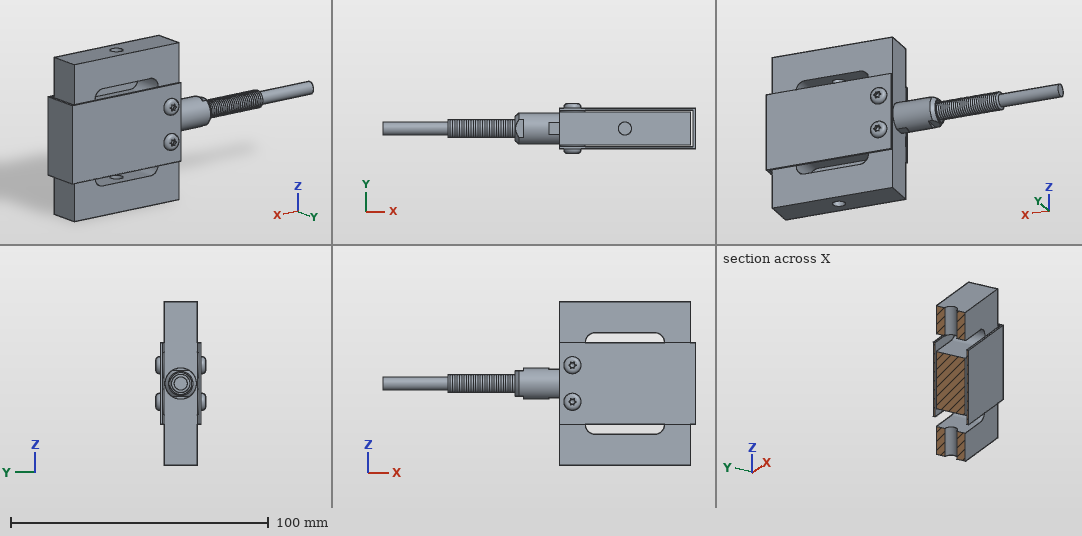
import cadquery as cq
import math

TOTAL_LENGTH = 121.4
TOTAL_WIDTH = 19.4

BLOCK_LENGTH = 51.0
BLOCK_WIDTH = 13.0
BLOCK_HEIGHT = 63.5
BLOCK_START = 68.5
BLOCK_CENTRE = BLOCK_START + BLOCK_LENGTH / 2
SLOT_LENGTH = 30.6
SLOT_HEIGHT = 7.4
SLOT_TOP = 19.7
MOUNTING_HOLE_DIAMETER = 5.1

COVER_HEIGHT = 31.7
COVER_WIDTH = 15.8
COVER_THICKNESS = 0.8
END_THICKNESS = 1.1

SCREW_INSET = 5.1
SCREW_SPACING = 14.2
WASHER_DIAMETER = 10.0
WASHER_THICKNESS = (COVER_WIDTH - BLOCK_WIDTH) / 2 - COVER_THICKNESS
HEAD_DIAMETER = 6.7
HEAD_TOP_DIAMETER = 3.8
HEAD_HEIGHT = (TOTAL_WIDTH - COVER_WIDTH) / 2
SOCKET_DIAMETER = 2.8
SOCKET_WAIST_DIAMETER = 2.0
SOCKET_DEPTH = 1.1
SOCKET_CONE_DEPTH = 0.5
SOCKET_LOBES = 6

CABLE_DIAMETER = 5.1
SLEEVE_START = 25.3
SLEEVE_DIAMETER = 7.2
RIB_COUNT = 29
RIB_DEPTH = 0.4

GLAND_START = 51.2
GLAND_DIAMETER = 12.1
GLAND_FACE_DIAMETER = 9.5
GLAND_CONE_LENGTH = 1.6
MOUTH_DIAMETER = 8.5
MOUTH_DEPTH = 1.5
FRONT_FLATS = 10.0
FRONT_FLATS_LENGTH = 3.3
BACK_FLATS = 11.2
BACK_FLATS_LENGTH = 4.0


def cylinder_along_x(diameter, start, end):
    return cq.Workplane("YZ").workplane(offset=start).circle(diameter / 2).extrude(end - start)


def make_block():
    block = cq.Workplane("XY").box(BLOCK_LENGTH, BLOCK_WIDTH, BLOCK_HEIGHT)
    slot_centre = SLOT_TOP - SLOT_HEIGHT / 2
    slots = (
        cq.Workplane("XZ")
        .pushPoints([(0, slot_centre), (0, -slot_centre)])
        .slot2D(SLOT_LENGTH, SLOT_HEIGHT)
        .extrude(BLOCK_WIDTH / 2, both=True)
    )
    block = block.cut(slots)
    hole_depth = BLOCK_HEIGHT / 2 - slot_centre
    for end_face in (">Z", "<Z"):
        end = block.faces(end_face).workplane(centerOption="CenterOfBoundBox")
        block = end.hole(MOUNTING_HOLE_DIAMETER, hole_depth)
    return block.translate((BLOCK_CENTRE, 0, 0))


def make_cover():
    cover_length = TOTAL_LENGTH - BLOCK_START
    outside = cq.Workplane("XY").box(cover_length, COVER_WIDTH, COVER_HEIGHT)
    inside = (
        cq.Workplane("XY")
        .box(cover_length, COVER_WIDTH - 2 * COVER_THICKNESS, COVER_HEIGHT)
        .translate((-END_THICKNESS, 0, 0))
    )
    return outside.cut(inside).translate((BLOCK_START + cover_length / 2, 0, 0))


def make_socket():
    """Lobed recess with a conical bottom, sunk into a screw head."""
    tip = SOCKET_DIAMETER / 2
    waist = SOCKET_WAIST_DIAMETER / 2
    half_pitch = math.pi / SOCKET_LOBES
    points = []
    for i in range(2 * SOCKET_LOBES):
        radius = tip if i % 2 == 0 else waist
        points.append((radius * math.cos(i * half_pitch), radius * math.sin(i * half_pitch)))
    floor = HEAD_HEIGHT - SOCKET_DEPTH
    recess = (
        cq.Workplane("XY")
        .workplane(offset=floor)
        .spline(points, periodic=True)
        .close()
        .extrude(SOCKET_DEPTH)
    )
    cone = cq.Solid.makeCone(0, waist, SOCKET_CONE_DEPTH, cq.Vector(0, 0, floor - SOCKET_CONE_DEPTH))
    return recess.union(cq.Workplane(cone))


def make_head():
    """Screw head with a rounded edge, seated on the outer cover face at Z = 0."""
    return (
        cq.Workplane("XY")
        .circle(HEAD_DIAMETER / 2)
        .extrude(HEAD_HEIGHT)
        .faces(">Z")
        .edges()
        .fillet((HEAD_DIAMETER - HEAD_TOP_DIAMETER) / 2)
        .cut(make_socket())
    )


def make_washer():
    """Washer filling the gap between the cover sheet and the block."""
    return (
        cq.Workplane("XY")
        .workplane(offset=-COVER_THICKNESS - WASHER_THICKNESS)
        .circle(WASHER_DIAMETER / 2)
        .extrude(WASHER_THICKNESS)
    )


def add_screws(body):
    """Add a pair of screws with washers to each side of the cover."""
    screw_x = BLOCK_START + SCREW_INSET
    for side in (-1, 1):
        for z in (-SCREW_SPACING / 2, SCREW_SPACING / 2):
            for piece in (make_head(), make_washer()):
                turned = piece.rotate((0, 0, 0), (1, 0, 0), -90 * side)
                body = body.union(turned.translate((screw_x, side * COVER_WIDTH / 2, z)))
    return body


def make_sleeve():
    """Sleeve with a row of rounded ribs, running to the bottom of the gland mouth."""
    pitch = (GLAND_START - SLEEVE_START) / RIB_COUNT
    crest = SLEEVE_DIAMETER / 2
    root = crest - RIB_DEPTH
    profile = cq.Workplane("XY").moveTo(SLEEVE_START, 0).lineTo(SLEEVE_START, root)
    for i in range(RIB_COUNT):
        start = SLEEVE_START + i * pitch
        profile = profile.threePointArc((start + pitch / 2, crest), (start + pitch, root))
    end = GLAND_START + MOUTH_DEPTH
    return profile.lineTo(end, root).lineTo(end, 0).close().revolve(360, (0, 0, 0), (1, 0, 0))


def cut_flats(body, across, start, length):
    """Cut a pair of flats, facing up and down, over a stretch of the gland."""
    stretch = cq.Workplane("XY").box(length, 2 * GLAND_DIAMETER, 2 * GLAND_DIAMETER)
    kept = cq.Workplane("XY").box(length, 2 * GLAND_DIAMETER, across)
    return body.cut(stretch.cut(kept).translate((start + length / 2, 0, 0)))


def make_gland():
    gland = (
        cq.Workplane("XY")
        .moveTo(GLAND_START, 0)
        .lineTo(GLAND_START, GLAND_FACE_DIAMETER / 2)
        .lineTo(GLAND_START + GLAND_CONE_LENGTH, GLAND_DIAMETER / 2)
        .lineTo(BLOCK_START, GLAND_DIAMETER / 2)
        .lineTo(BLOCK_START, 0)
        .close()
        .revolve(360, (0, 0, 0), (1, 0, 0))
        .cut(cylinder_along_x(MOUTH_DIAMETER, GLAND_START, GLAND_START + MOUTH_DEPTH))
    )
    gland = cut_flats(gland, FRONT_FLATS, GLAND_START, FRONT_FLATS_LENGTH)
    return cut_flats(gland, BACK_FLATS, BLOCK_START - BACK_FLATS_LENGTH, BACK_FLATS_LENGTH)


cable = cylinder_along_x(CABLE_DIAMETER, 0, GLAND_START + MOUTH_DEPTH)
result = make_block().union(make_gland()).union(make_sleeve()).union(cable)
result = add_screws(result.union(make_cover()))